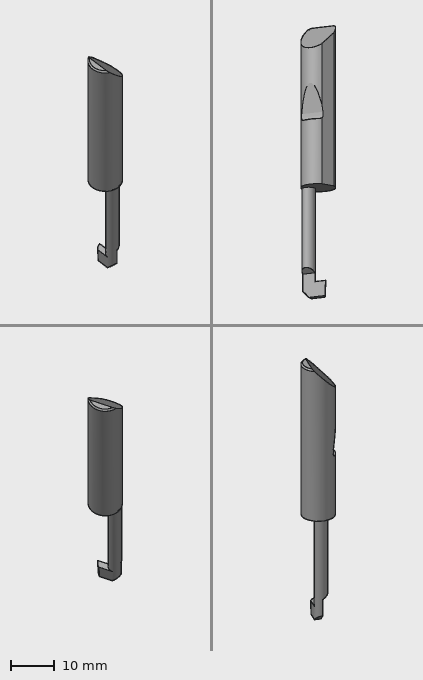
import cadquery as cq
import math

total_height = 63.5
shank_diameter = 7.95
shank_radius = shank_diameter / 2
shank_bottom = 25.4
cut_margin = 3.2

rim_chamfer_height = 0.4
rim_chamfer_width = 0.4
slope_start_y = -2.2

flat_chord_end_y = 3.1

notch_top = 49.0
notch_bottom = 40.65
notch_floor_y = 2.8
notch_floor_z = 42.2
notch_corner_radius = 0.75

neck_diameter = 3.1
neck_radius = neck_diameter / 2
neck_x = shank_radius - neck_radius
tip_corner_chamfer = 1.5
rake_start_z = 5.6
rake_run_out = 1.1

head_top = 3.55
head_front_drop = 0.2
head_left = -1.85
head_front_left = -0.9
head_side_taper = 0.2
head_side_bulge = 0.2


def x_prism(points):
    """Prism along X, longer than the shank is wide, from (Y, Z) points."""
    return cq.Workplane("YZ").polyline(points).close().extrude(shank_radius + cut_margin, both=True)


def make_shank():
    shank = (
        cq.Workplane("XY")
        .workplane(offset=shank_bottom)
        .circle(shank_radius)
        .extrude(total_height - shank_bottom)
        .faces(">Z").edges()
        .chamfer(rim_chamfer_height, rim_chamfer_width)
    )
    return shank.cut(end_slope()).cut(side_flat()).cut(clamping_notch())


def end_slope():
    slope_run = shank_radius + cut_margin - slope_start_y
    return x_prism([
        (slope_start_y, total_height),
        (slope_start_y + slope_run, total_height - slope_run),
        (slope_start_y + slope_run, total_height),
    ])


def side_flat():
    chord_end_x = -math.sqrt(shank_radius**2 - flat_chord_end_y**2)
    return (
        cq.Workplane("XY")
        .workplane(offset=shank_bottom)
        .moveTo(-shank_radius, 0)
        .lineTo(chord_end_x, flat_chord_end_y)
        .lineTo(-shank_radius, flat_chord_end_y + cut_margin)
        .lineTo(-shank_radius - cut_margin, flat_chord_end_y)
        .close()
        .extrude(total_height - shank_bottom)
    )


def clamping_notch():
    """Shallow ramp down to the floor, then a rounded corner out to the step."""
    corner_y = notch_floor_y + notch_corner_radius
    corner_z = notch_bottom + notch_corner_radius
    arc_offset = notch_corner_radius * math.sqrt(0.5)
    return (
        cq.Workplane("YZ")
        .moveTo(shank_radius, notch_top)
        .lineTo(notch_floor_y, notch_floor_z)
        .lineTo(notch_floor_y, corner_z)
        .threePointArc((corner_y - arc_offset, corner_z - arc_offset), (corner_y, notch_bottom))
        .lineTo(shank_radius + cut_margin, notch_bottom)
        .lineTo(shank_radius + cut_margin, notch_top)
        .close()
        .extrude(shank_radius + cut_margin, both=True)
    )


def make_neck():
    neck = cq.Workplane("XY").center(neck_x, 0).circle(neck_radius).extrude(shank_bottom)
    rake_cut = x_prism([
        (0, 0),
        (0, rake_start_z),
        (neck_radius, rake_start_z + rake_run_out),
        (neck_radius + cut_margin, rake_start_z + rake_run_out),
        (neck_radius + cut_margin, 0),
    ])
    corner_cut = (
        cq.Workplane("XZ")
        .polyline([
            (shank_radius, tip_corner_chamfer),
            (shank_radius - tip_corner_chamfer, 0),
            (shank_radius, 0),
        ])
        .close()
        .extrude(neck_radius + cut_margin, both=True)
    )
    half_to_remove = (
        cq.Workplane("XY")
        .box(neck_radius, 2 * neck_radius, head_top, centered=(False, True, False))
        .translate((neck_x - neck_radius, 0, 0))
    )
    return neck.cut(rake_cut).cut(corner_cut).cut(half_to_remove)


def head_outline(z, inset):
    """Plan outline of the head with its left side moved inwards by inset."""
    back_left = head_left + inset
    front_left = head_front_left + inset
    side_x = front_left - back_left
    side_length = math.hypot(side_x, neck_radius)
    middle = (
        (back_left + front_left) / 2 - head_side_bulge * neck_radius / side_length,
        -neck_radius / 2 - head_side_bulge * side_x / side_length,
    )
    return (
        cq.Workplane("XY")
        .workplane(offset=z)
        .moveTo(neck_x, 0)
        .lineTo(back_left, 0)
        .threePointArc(middle, (front_left, -neck_radius))
        .lineTo(neck_x, -neck_radius)
        .close()
        .wires().val()
    )


def make_head():
    outlines = [head_outline(0, head_side_taper), head_outline(head_top, 0)]
    head = cq.Workplane(cq.Solid.makeLoft(outlines, True))
    top_relief = x_prism([
        (0, head_top),
        (-neck_radius, head_top - head_front_drop),
        (-neck_radius, head_top),
    ])
    neck_above = (
        cq.Workplane("XY")
        .center(neck_x, 0)
        .circle(neck_radius)
        .extrude(head_top)
        .intersect(top_relief)
    )
    return head.cut(top_relief).union(neck_above)


result = make_shank().union(make_neck()).union(make_head())